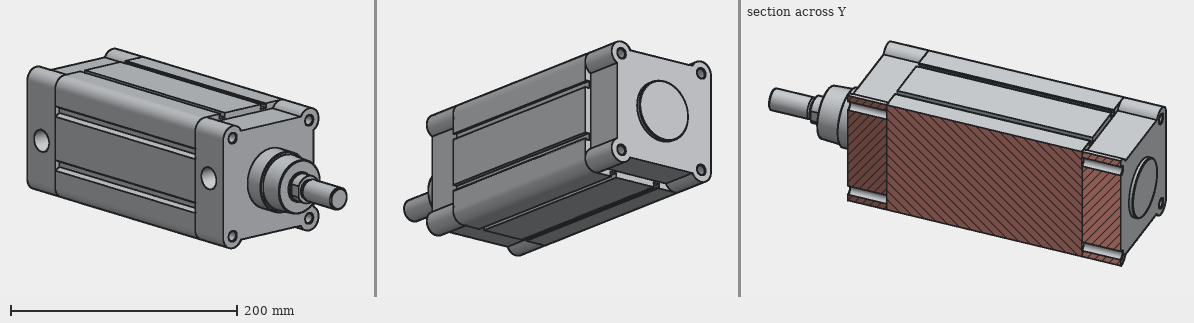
import cadquery as cq
import math

side = 112.0
half = side / 2
corner_radius = 11.0
total_length = 358.0

spigot_length = 4.0
cap_length = 37.5
tube_length = 187.5
tube_start = spigot_length + cap_length
front_cap_start = tube_start + tube_length
front_face = front_cap_start + cap_length

boss_radius = 11.0
bolt_offset = half - boss_radius
recess_depth = 6.0
bolt_hole_radius = 4.3
bolt_chamfer = 0.7
port_radius = 10.0
port_depth = 18.0
port_rise = 6.0
port_inset = 19.5

spigot_radius = 27.5
spigot_chamfer = 0.7
guide_chamfer = 0.55
guide_length = 17.5
nose_length = 21.0
nose_base_radius = 25.5
nose_tip_radius = 24.5
nose_chamfer = 0.7
lip_length = 1.5
lip_base_radius = 13.5
lip_tip_radius = 13.0

slot_inner = 21.0
slot_mouth = 26.5
slot_undercut = 27.5
slot_lip = 1.5
slot_depth = 4.3

groove_offset = 24.7
groove_mouth = 9.5
groove_floor = 4.5
groove_depth = 5.0

rod_radius = 12.5
flat_width = 23.0
flat_setback = 2.0
shoulder_end = 317.0
relief_radius = 9.0
relief_length = 2.0
thread_radius = 10.0
thread_start_chamfer_length = 1.8
thread_tip_chamfer = 1.0

nose_end = front_face + guide_length + nose_length
lip_end = nose_end + lip_length


def block(start, length):
    """Square bar along X with rounded long edges."""
    return (
        cq.Workplane("YZ", origin=(start, 0, 0))
        .rect(side, side)
        .extrude(length)
        .edges("|X")
        .fillet(corner_radius)
    )


def x_cylinder(start, length, radius, y=0.0, z=0.0):
    return cq.Workplane("YZ", origin=(start, y, z)).circle(radius).extrude(length)


def revolved(profile):
    """Solid of revolution about X from (x, radius) points."""
    return cq.Workplane("XY").polyline(profile).close().revolve(360, (0, 0, 0), (1, 0, 0))


def bolt_positions():
    return [(y, z) for y in (-bolt_offset, bolt_offset) for z in (-bolt_offset, bolt_offset)]


def cap_outline(start):
    """Cap section in Y and Z: flat -Y side, recessed other sides, round corner bosses between."""
    floor = half - recess_depth
    boss_reach = math.sqrt(boss_radius**2 - (floor - bolt_offset) ** 2)
    floor_end = bolt_offset - boss_reach
    diagonal = bolt_offset + boss_radius * math.cos(math.radians(45))
    return (
        cq.Workplane("YZ", origin=(start, 0, 0))
        .moveTo(-half, -bolt_offset)
        .lineTo(-half, bolt_offset)
        .threePointArc((-bolt_offset, half), (-floor_end, floor))
        .lineTo(floor_end, floor)
        .threePointArc((diagonal, diagonal), (floor, floor_end))
        .lineTo(floor, -floor_end)
        .threePointArc((diagonal, -diagonal), (floor_end, -floor))
        .lineTo(-floor_end, -floor)
        .threePointArc((-bolt_offset, -half), (-half, -bolt_offset))
        .close()
    )


def bolt_hole(start, outer_face, y, z):
    """Cutter for a through hole with a chamfered rim at the outer cap face."""
    inward = 1 if outer_face == start else -1
    rim_radius = bolt_hole_radius + bolt_chamfer
    rim = cq.Solid.makeCone(
        rim_radius,
        bolt_hole_radius,
        bolt_chamfer,
        pnt=cq.Vector(outer_face, y, z),
        dir=cq.Vector(inward, 0, 0),
    )
    return x_cylinder(start, cap_length, bolt_hole_radius, y, z).union(cq.Workplane(obj=rim))


def cap(start, outer_face, port_x, port_z):
    """Cap with corner bosses, recessed +Y, +Z and -Z sides, bolt holes and an air port."""
    body = cap_outline(start).extrude(cap_length)

    for y, z in bolt_positions():
        body = body.cut(bolt_hole(start, outer_face, y, z))

    port = (
        cq.Workplane("XZ", origin=(port_x, -half, port_z)).circle(port_radius).extrude(-port_depth)
    )
    return body.cut(port)


def make_rear_cap():
    body = cap(spigot_length, spigot_length, spigot_length + port_inset, -port_rise)
    spigot = x_cylinder(0, spigot_length, spigot_radius).faces("<X").chamfer(spigot_chamfer)
    return body.union(spigot)


def make_front_cap():
    body = cap(front_cap_start, front_face, front_face - port_inset, port_rise)
    guide_end = front_face + guide_length
    nose = revolved(
        [
            (front_face, 0),
            (front_face, spigot_radius),
            (guide_end - guide_chamfer, spigot_radius),
            (guide_end, spigot_radius - guide_chamfer),
            (guide_end, nose_base_radius - nose_chamfer),
            (guide_end + nose_chamfer, nose_base_radius),
            (nose_end - nose_chamfer, nose_tip_radius),
            (nose_end, nose_tip_radius - nose_chamfer),
            (nose_end, lip_base_radius),
            (lip_end, lip_tip_radius),
            (lip_end, 0),
        ]
    )
    rod_bore = x_cylinder(front_cap_start, lip_end - front_cap_start, rod_radius)
    return body.union(nose).cut(rod_bore)


def make_tube():
    body = block(tube_start, tube_length)

    for turn in (0, -90, 180):
        for hand in (-1, 1):
            slot = (
                cq.Workplane("YZ", origin=(tube_start, 0, 0))
                .polyline(
                    [
                        (hand * slot_inner, half),
                        (hand * slot_inner, half - slot_depth),
                        (hand * slot_undercut, half - slot_depth),
                        (hand * slot_undercut, half - slot_lip),
                        (hand * slot_mouth, half - slot_lip),
                        (hand * slot_mouth, half),
                    ]
                )
                .close()
                .extrude(tube_length)
            )
            body = body.cut(slot.rotate((0, 0, 0), (1, 0, 0), turn))

    for z in (-groove_offset, groove_offset):
        groove = (
            cq.Workplane("YZ", origin=(tube_start, -half, z))
            .polyline(
                [
                    (0, -groove_mouth / 2),
                    (0, groove_mouth / 2),
                    (groove_depth, groove_floor / 2),
                    (groove_depth, -groove_floor / 2),
                ]
            )
            .close()
            .extrude(tube_length)
        )
        body = body.cut(groove)
    return body


def make_rod():
    relief_end = shoulder_end + relief_length
    rod = revolved(
        [
            (front_cap_start, 0),
            (front_cap_start, rod_radius),
            (shoulder_end, rod_radius),
            (shoulder_end, relief_radius),
            (relief_end, relief_radius),
            (relief_end + thread_start_chamfer_length, thread_radius),
            (total_length - thread_tip_chamfer, thread_radius),
            (total_length, thread_radius - thread_tip_chamfer),
            (total_length, 0),
        ]
    )
    flat_start = nose_end + flat_setback
    flat_length = shoulder_end - flat_start
    flat_cut = rod_radius - flat_width / 2
    for direction in (-1, 1):
        flat = cq.Workplane("XY").box(flat_length, flat_cut, 2 * rod_radius).translate(
            (flat_start + flat_length / 2, direction * (flat_width + flat_cut) / 2, 0)
        )
        rod = rod.cut(flat)
    return rod


rear_cap = make_rear_cap()
tube = make_tube()
front_cap = make_front_cap()
rod = make_rod()

result = cq.Compound.makeCompound([rear_cap.val(), tube.val(), front_cap.val(), rod.val()])